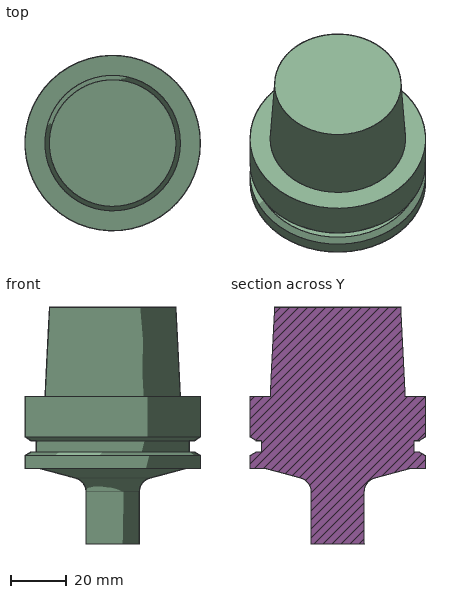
import cadquery as cq
import math

total_height = 84.9
flange_bottom = 27.0
lower_rim_top = 31.75
groove_bottom = 33.0
groove_top = 37.0
upper_rim_bottom = 38.4
flange_top = 52.9

shank_radius = 19.2 / 2
flange_radius = 62.9 / 2
groove_radius = 54.9 / 2
groove_lip_radius = 29.3
taper_base_radius = 24.3
taper_top_radius = 22.7

cone_angle = math.radians(15)
fillet_radius = 5.0
fillet_bottom = 18.8

fillet_center_radius = shank_radius + fillet_radius


def fillet_point(angle):
    """Point on the fillet, with the angle measured from the shank tangent point."""
    return (
        fillet_center_radius - fillet_radius * math.cos(angle),
        fillet_bottom + fillet_radius * math.sin(angle),
    )


fillet_sweep = math.pi / 2 - cone_angle
cone_start_radius, cone_start_height = fillet_point(fillet_sweep)
cone_radius = cone_start_radius + (flange_bottom - cone_start_height) / math.tan(cone_angle)

profile = (
    cq.Workplane("XZ")
    .lineTo(shank_radius, 0)
    .lineTo(shank_radius, fillet_bottom)
    .threePointArc(fillet_point(fillet_sweep / 2), (cone_start_radius, cone_start_height))
    .lineTo(cone_radius, flange_bottom)
    .lineTo(flange_radius, flange_bottom)
    .lineTo(flange_radius, lower_rim_top)
    .lineTo(groove_lip_radius, groove_bottom)
    .lineTo(groove_radius, groove_bottom)
    .lineTo(groove_radius, groove_top)
    .lineTo(groove_lip_radius, groove_top)
    .lineTo(flange_radius, upper_rim_bottom)
    .lineTo(flange_radius, flange_top)
    .lineTo(taper_base_radius, flange_top)
    .lineTo(taper_top_radius, total_height)
    .lineTo(0, total_height)
    .close()
)

result = profile.revolve(360, (0, 0, 0), (0, 1, 0))